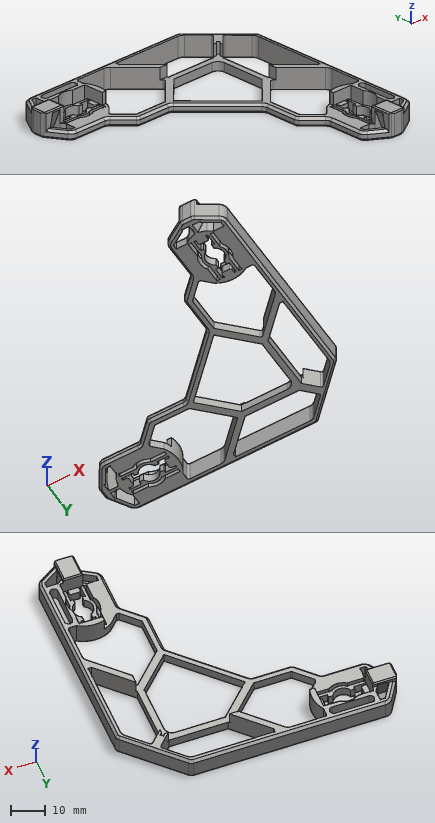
import cadquery as cq
import math

SIZE = 85.0
BLOCK_HEIGHT = 8.6
WALL_HEIGHT = 7.2
FRAME_HEIGHT = 3.1
EDGE_CHAMFER = 0.8
CLEARANCE = 1.0
MIRROR_NORMAL = (1, -1, 0)
ROOT_TWO = math.sqrt(2)

CORNER_CUT = 17.0
FOOT_WIDTH = 20.0
TIP_LENGTH = 5.0
TIP_FLAT = 4.0
TIP_RADIUS = 3.0
NECK_START = 19.0
NECK_DROP = 6.7
SHOULDER_END = 38.7
OUTLINE_RADIUS = 2.0

RAIL = 1.85
CORNER_RAIL = 1.6
INNER_RIB = 2.25
BRANCH_RIB = 2.5
TALL_RIB = 2.0
POST = 2.7
POST_LENGTH = 4.3
POST_NOTCH = 1.0
TALL_DEPTH = 13.0
CROSS_RIB_TOP = 13.3
CROSS_RIB_BOTTOM = 15.45
TALL_RIB_START = 35.0
BRANCH_START = 63.1
SHOULDER_RIB = 2.3
NECK_RIB = 2.4
NECK_WINDOW_X = 21.5
CORNER_WINDOW_X = 40.8
WINDOW_RADIUS = 0.7
RAIL_CORNER_RADIUS = 2.7
CENTER_RADIUS = 2.6

FOOT_HALF = FOOT_WIDTH / 2
FOOT_AXIS = SIZE - FOOT_HALF
HUB_X = 16.0
HUB_RADIUS = 10.0
HUB_WALL_X = 24.4
BLOCK_WIDTH = 6.15
BLOCK_LENGTH = 8.0
BLOCK_CHAMFER = 0.4
TRAY_LENGTH = 16.0
TRAY_HALF = 4.3
TRAY_BULGE = 5.2
TRAY_RADIUS = 0.5
BEAM_OUTER_HALF = 3.25
BEAM_BULGE = 4.05
BEAM_INNER_HALF = 2.35
BORE_RADIUS = 3.15
LUG_HALF_GAP = 1.4
LUG_SPAN = 8.4
TAB_LENGTH = 1.8
TAB_WIDTH = 3.5
TAB_RADIUS = 0.6
GROOVE_LENGTH = 14.0
GROOVE_WIDTH = 2.5
GROOVE_RADIUS = 1.2

TIP_HOLE_X = 7.6
TIP_HOLE_CORNER = 4.6
POCKET_START = 2.4
POCKET_TOP_START = 3.5
POCKET_END = 6.5
POCKET_WAIST = 5.4
POCKET_TOP = 7.6
RIDGE_FOOT_WIDTH = 1.0


def at(x, depth):
    """A point given by its x and its depth below the top edge."""
    return (x, SIZE - depth)


def diagonals(falling, rising):
    """Where the diagonals x - depth = falling and x + depth = rising cross."""
    return at((rising + falling) / 2, (rising - falling) / 2)


def swapped(points):
    """The points mirrored across x = y, in reversed order."""
    return [(y, x) for x, y in reversed(points)]


def prism(points, bottom, top):
    return cq.Workplane("XY").workplane(offset=bottom).polyline(points).close().extrude(top - bottom)


def bar(length, width, bottom, top, x=HUB_X, y=FOOT_AXIS):
    plane = cq.Workplane("XY").workplane(offset=bottom)
    return plane.center(x, y).rect(length, width).extrude(top - bottom)


def hub_bar(length, half_width, bulge_radius, bottom, top):
    """A bar along the foot with a round bulge at the hub."""
    bulge = cq.Workplane("XY").workplane(offset=bottom).center(HUB_X, FOOT_AXIS).circle(bulge_radius)
    return bar(length, 2 * half_width, bottom, top).union(bulge.extrude(top - bottom))


def round_corners(body, points, radius):
    """Fillet the upright edges that stand at the given points."""
    for x, y in points:
        nearest = cq.selectors.NearestToPointSelector((x, y, body.val().Center().z))
        body = body.edges("|Z").edges(nearest).fillet(radius)
    return body


def outline_body(height):
    foot_bottom = SIZE - FOOT_WIDTH
    shoulder_y = foot_bottom - NECK_DROP
    shoulder = [
        (SHOULDER_END, shoulder_y),
        (NECK_START + NECK_DROP, shoulder_y),
        (NECK_START, foot_bottom),
    ]
    tip_bottom = (TIP_LENGTH, foot_bottom)
    tip_flat = [(0, FOOT_AXIS - TIP_FLAT / 2), (0, FOOT_AXIS + TIP_FLAT / 2)]
    tip_top = (TIP_LENGTH, SIZE)
    corner_cut = (SIZE - CORNER_CUT, SIZE)
    half = shoulder + [tip_bottom] + tip_flat + [tip_top, corner_cut]
    tip_corners = [tip_bottom, tip_top]
    plain_corners = shoulder + tip_flat + [corner_cut]
    body = prism(half + swapped(half), 0, height)
    body = round_corners(body, tip_corners + swapped(tip_corners), TIP_RADIUS)
    return round_corners(body, plain_corners + swapped(plain_corners), OUTLINE_RADIUS)


def low_zone():
    """The space inside the tall rails, with a small notch into the post at the outer corner."""
    side = SIZE - TALL_DEPTH
    post_end = SIZE - CORNER_CUT - (CORNER_RAIL + POST_LENGTH) * ROOT_TWO
    step_x, step_y = diagonals(post_end, SIZE - POST_NOTCH / ROOT_TWO)
    notch = [(step_x - (step_y - side), side), (step_x, step_y)]
    half = [(-CLEARANCE, side)] + notch
    points = [(-CLEARANCE, -CLEARANCE)] + half + swapped(half)
    return prism(points, -CLEARANCE, BLOCK_HEIGHT)


def frame():
    low = outline_body(FRAME_HEIGHT).faces("<Z or >Z").edges().chamfer(EDGE_CHAMFER)
    tall = outline_body(WALL_HEIGHT).faces("<Z or >Z").edges().chamfer(EDGE_CHAMFER)
    return low.union(tall.cut(low_zone()))


def block():
    """The tallest part of the foot, trimmed to the outline at its outer end."""
    body = outline_body(BLOCK_HEIGHT).faces("<Z").edges().chamfer(EDGE_CHAMFER)
    box = bar(BLOCK_LENGTH, BLOCK_WIDTH, 0, BLOCK_HEIGHT, x=BLOCK_LENGTH / 2)
    return box.faces(">Z").edges().chamfer(BLOCK_CHAMFER).intersect(body)


def side_window():
    """The opening between the foot, the tall rib and the branch rib."""
    floor = FOOT_WIDTH + NECK_DROP - SHOULDER_RIB
    neck_line = NECK_START - FOOT_WIDTH + NECK_RIB * ROOT_TWO
    wall_dx = HUB_WALL_X - HUB_X
    wall_dy = math.sqrt(HUB_RADIUS ** 2 - wall_dx ** 2)
    hub_line = HUB_WALL_X + FOOT_HALF + wall_dy
    rail_corner = at(TALL_RIB_START + RAIL, RAIL)
    window = (
        cq.Workplane("XY")
        .moveTo(*at(HUB_WALL_X, RAIL))
        .lineTo(*rail_corner)
        .lineTo(*diagonals(TALL_RIB_START, BRANCH_START))
        .lineTo(*at(BRANCH_START - floor, floor))
        .lineTo(*at(neck_line + floor, floor))
        .lineTo(*at(NECK_WINDOW_X, NECK_WINDOW_X - neck_line))
        .lineTo(*at(NECK_WINDOW_X, hub_line - NECK_WINDOW_X))
        .lineTo(HUB_WALL_X, FOOT_AXIS - wall_dy)
        .threePointArc((HUB_X + HUB_RADIUS, FOOT_AXIS), (HUB_WALL_X, FOOT_AXIS + wall_dy))
        .close()
        .extrude(BLOCK_HEIGHT)
    )
    small_corners = [
        at(HUB_WALL_X, RAIL),
        diagonals(TALL_RIB_START, BRANCH_START),
        at(BRANCH_START - floor, floor),
        at(neck_line + floor, floor),
    ]
    window = round_corners(window, [rail_corner], RAIL_CORNER_RADIUS)
    return round_corners(window, small_corners, WINDOW_RADIUS)


def corner_window():
    """The opening between the tall rib, the cut outer corner and the post."""
    rail_line = SIZE - CORNER_CUT - CORNER_RAIL * ROOT_TWO
    post_line = SIZE - POST / ROOT_TWO
    rib_line = TALL_RIB_START + TALL_RIB * ROOT_TWO
    rail_corner = at(rail_line + RAIL, RAIL)
    post_corner = diagonals(rail_line, post_line)
    points = [
        at(CORNER_WINDOW_X, RAIL),
        rail_corner,
        post_corner,
        at(post_line - CROSS_RIB_TOP, CROSS_RIB_TOP),
        at(rib_line + CROSS_RIB_TOP, CROSS_RIB_TOP),
        at(CORNER_WINDOW_X, CORNER_WINDOW_X - rib_line),
    ]
    window = prism(points, 0, BLOCK_HEIGHT)
    window = round_corners(window, [rail_corner], RAIL_CORNER_RADIUS)
    return round_corners(window, [post_corner], WINDOW_RADIUS)


def center_window():
    inner_edge = SHOULDER_END - FOOT_WIDTH - NECK_DROP + INNER_RIB * ROOT_TWO
    branch_edge = BRANCH_START + BRANCH_RIB * ROOT_TWO
    half = [
        diagonals(inner_edge, branch_edge),
        at(branch_edge - CROSS_RIB_BOTTOM, CROSS_RIB_BOTTOM),
    ]
    corner = at(SIZE - CROSS_RIB_BOTTOM, CROSS_RIB_BOTTOM)
    window = prism(half + [corner] + swapped(half), 0, BLOCK_HEIGHT)
    return round_corners(window, [corner], CENTER_RADIUS)


def tip_holes():
    """The two openings between the sloping tip walls, the block and the tray."""
    slope = TIP_LENGTH / (FOOT_HALF - TIP_FLAT / 2)
    wall_at_edge = TIP_LENGTH + RAIL * math.hypot(1, slope)
    block_depth = FOOT_HALF - BLOCK_WIDTH / 2
    points = [
        at(wall_at_edge - slope * RAIL, RAIL),
        at(TIP_HOLE_X, RAIL),
        at(TIP_HOLE_X, FOOT_HALF - TIP_HOLE_CORNER),
        at(POCKET_END, block_depth),
        at(wall_at_edge - slope * block_depth, block_depth),
    ]
    hole = prism(points, 0, BLOCK_HEIGHT)
    return hole.union(hole.mirror("XZ", (0, FOOT_AXIS, 0)))


def block_pocket():
    """The hollow under the block, narrowest at the foot axis, with a ridge that narrows downwards."""
    side_profile = [
        (POCKET_START, 0),
        (POCKET_START, FRAME_HEIGHT),
        (POCKET_TOP_START, POCKET_TOP),
        (POCKET_END, POCKET_TOP),
        (POCKET_END, 0),
    ]
    ridge_profile = [
        (-RIDGE_FOOT_WIDTH / 2, 0),
        (-BLOCK_WIDTH / 2, POCKET_TOP),
        (BLOCK_WIDTH / 2, POCKET_TOP),
        (RIDGE_FOOT_WIDTH / 2, 0),
    ]
    hollow = cq.Workplane("XZ", origin=(0, FOOT_AXIS, 0)).polyline(side_profile).close()
    ridge = cq.Workplane("YZ", origin=(0, FOOT_AXIS, 0)).polyline(ridge_profile).close()
    half_width = BLOCK_WIDTH / 2
    plan = [
        (0, FOOT_AXIS - half_width),
        (POCKET_END, FOOT_AXIS - half_width),
        (POCKET_WAIST, FOOT_AXIS),
        (POCKET_END, FOOT_AXIS + half_width),
        (0, FOOT_AXIS + half_width),
    ]
    pocket = hollow.extrude(half_width, both=True).intersect(prism(plan, 0, POCKET_TOP))
    return pocket.cut(ridge.extrude(BLOCK_LENGTH))


def tray():
    """The recess around the clip, down to the height of the low frame."""
    recess = hub_bar(TRAY_LENGTH, TRAY_HALF, TRAY_BULGE, FRAME_HEIGHT, BLOCK_HEIGHT)
    return recess.edges("|Z").edges("<X").fillet(TRAY_RADIUS)


def clip_slits():
    """The gaps that free the two spring beams of the clip."""
    outside = hub_bar(TRAY_LENGTH, TRAY_HALF, TRAY_BULGE, 0, FRAME_HEIGHT)
    return outside.cut(hub_bar(TRAY_LENGTH, BEAM_OUTER_HALF, BEAM_BULGE, 0, FRAME_HEIGHT))


def clip_opening():
    """The opening between the beams, with lugs beside the bore and a tab at each end."""
    opening = bar(TRAY_LENGTH, 2 * BEAM_INNER_HALF, 0, FRAME_HEIGHT)
    opening = opening.cut(bar(LUG_SPAN, 2 * BEAM_INNER_HALF, 0, FRAME_HEIGHT))
    opening = opening.union(hub_bar(LUG_SPAN, LUG_HALF_GAP, BORE_RADIUS, 0, FRAME_HEIGHT))
    for end in (-1, 1):
        tab = bar(2 * TAB_LENGTH, TAB_WIDTH, 0, FRAME_HEIGHT, x=HUB_X + end * TRAY_LENGTH / 2)
        opening = opening.cut(tab.edges("|Z").fillet(TAB_RADIUS))
    return opening


def groove():
    groove_y = SIZE - RAIL - GROOVE_WIDTH / 2
    body = bar(GROOVE_LENGTH, GROOVE_WIDTH, FRAME_HEIGHT, BLOCK_HEIGHT, y=groove_y)
    return body.edges("|Z").fillet(GROOVE_RADIUS)


foot_block = block()
result = frame().union(foot_block).union(foot_block.mirror(MIRROR_NORMAL))

paired_cuts = [
    tray(),
    clip_slits(),
    clip_opening(),
    groove(),
    tip_holes(),
    block_pocket(),
    side_window(),
    corner_window(),
]
for cutter in paired_cuts:
    result = result.cut(cutter).cut(cutter.mirror(MIRROR_NORMAL))
result = result.cut(center_window())